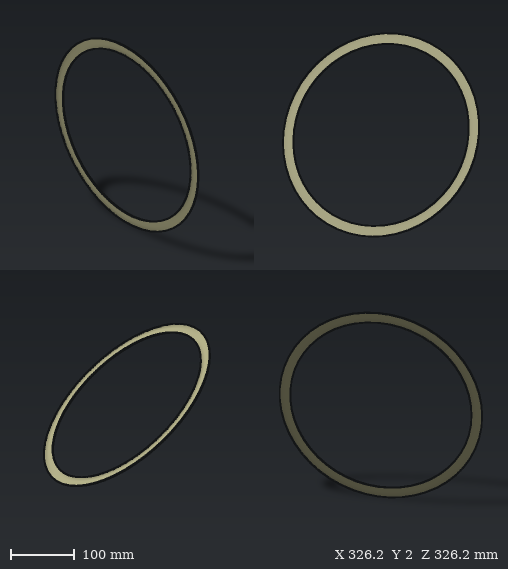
import cadquery as cq

outer_diameter = 326.2
inner_diameter = 292.0
thickness = 2.0

result = (
    cq.Workplane("XZ")
    .circle(outer_diameter / 2)
    .circle(inner_diameter / 2)
    .extrude(thickness / 2, both=True)
)